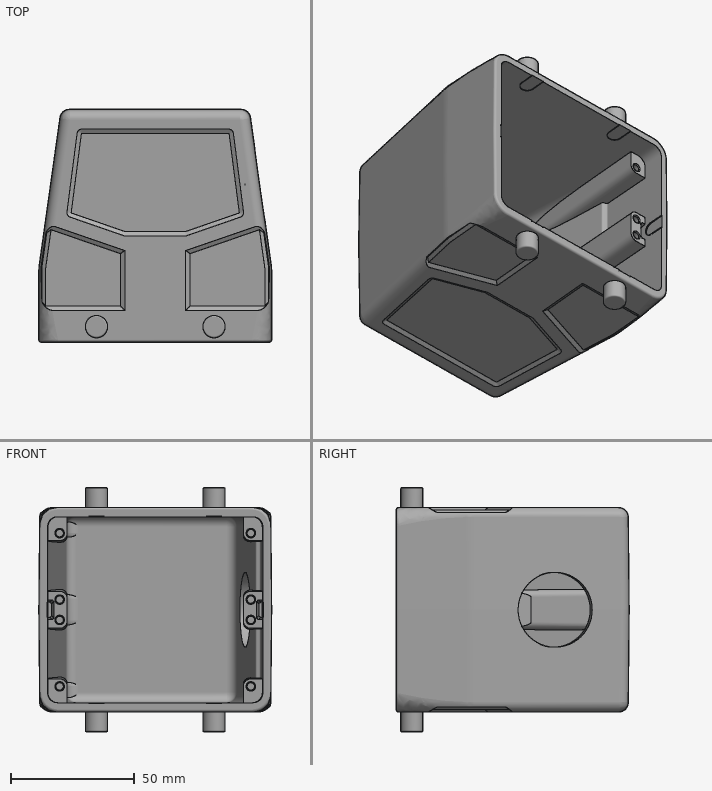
import cadquery as cq
import math

WIDTH = 94.0
LENGTH = 94.0
HEIGHT = 82.5
HALF_WIDTH = WIDTH / 2
HALF_HEIGHT = HEIGHT / 2
DRAFT = 0.55
SIDE_SLOPE = math.tan(math.radians(8))
BEND_Y = 29.9
BEND_RADIUS = 20.0
EDGE_RADIUS = 4.0
MOUTH_CORNER_RADIUS = 7.8
CORNER_MID_RADIUS = 5.1
CORNER_BLEND_Y = 28.4
MOUTH_ROUND = 1.0

CAVITY_HALF_WIDTH = 43.4
CAVITY_HALF_HEIGHT = 37.5
CAVITY_END = 90.5
LEFT_BEND = (-42.9, 36.7)
STEP_START = (42.6, 31.8)
STEP_END = (40.6, 32.3)
STEP_RADIUS = 0.8
CAVITY_RADIUS = 4.0

POST_FRONT = 9.5
POST_INNER_X = 35.5
POST_DRAFT = 0.75
POST_RADIUS = 3.0
CENTRE_POST_HALF = 7.45
CORNER_POST_Z = 27.9
SCREW_X = 38.55
SCREW_Z = (30.9, 4.1)
SCREW_DIAMETER = 3.0
SCREW_CHAMFER = 0.4
SCREW_DEPTH = 15.0
POST_FOOT_RADIUS = 4.5
NOTCH_X = 40.9
NOTCH_HALF = 4.0
NOTCH_DEPTH = 6.0
NOTCH_CHAMFER = 0.7
NOTCH_TAPER = 8.5

ENTRY_DIAMETER = 30.2
ENTRY_Y = 63.0
ENTRY_OVERLAP = 2.0

PIN_X = 23.7
PIN_Y = 6.3
PIN_DIAMETER = 9.0
PIN_HEIGHT = 8.0
PIN_ROUND = 0.6
SLOT_WIDTH = 6.0
SLOT_DEPTH = 0.3

PANEL_DEPTH = 1.0
PANEL_WALL_TAPER = 60.0
PANEL_ROUND = 2.0
PANEL_BACK_Y = 86.0
PANEL_BACK_X = 31.3
PANEL_SIDE = (35.8, 51.0)
PANEL_FRONT = (12.4, 42.9)
GRIP_INNER_X = 12.3
GRIP_FRONT_Y = 12.9
GRIP_BACK_Y = 37.0
GRIP_BACK_SLOPE = math.tan(math.radians(19))
GRIP_EDGE_INSET = 2.8
GRIP_EDGE_TAPER = 57.0
GRIP_EDGE_DROP = 2.0

MARGIN = 10.0


def side_x(y):
    """Half width of the hood in the parting plane, behind the bend."""
    return HALF_WIDTH - SIDE_SLOPE * (y - BEND_Y)


def mirrored_z(shape):
    return shape.union(shape.mirror("XY"))


def mirrored_x(shape):
    return shape.union(shape.mirror("YZ"))


def upper_half():
    """Drafted upper half of the outer shape, solid, with rounded edges."""
    back_x = side_x(LENGTH)
    half = (
        cq.Workplane("XY")
        .polyline([
            (-HALF_WIDTH, -MARGIN),
            (HALF_WIDTH, -MARGIN),
            (HALF_WIDTH, BEND_Y),
            (back_x, LENGTH),
            (-back_x, LENGTH),
            (-HALF_WIDTH, BEND_Y),
        ])
        .close()
        .extrude(HALF_HEIGHT, taper=DRAFT)
    )
    bends = cq.selectors.BoxSelector(
        (-WIDTH, BEND_Y - 1, 0), (WIDTH, BEND_Y + 1, HALF_HEIGHT))
    half = half.edges("not #Z").edges(bends).fillet(BEND_RADIUS)
    half = half.edges("not #Z").edges(">Y").fillet(EDGE_RADIUS)
    mouth_cut = cq.Workplane("XY").box(2 * WIDTH, MARGIN * 2, 2 * HEIGHT).translate((0, -MARGIN, 0))
    half = half.cut(mouth_cut)
    return half.faces(">Z").edges("not <Y").fillet(EDGE_RADIUS)


def corner_section(y, radius):
    """What a corner rounding of the given radius removes at one y, upper right corner."""
    lean = math.radians(DRAFT)
    centre_z = HALF_HEIGHT - radius
    centre_x = HALF_WIDTH - math.tan(lean) * centre_z - radius / math.cos(lean)

    def on_arc(angle):
        return centre_x + radius * math.cos(angle), centre_z + radius * math.sin(angle)

    side_point = on_arc(lean)
    return (
        cq.Workplane("XZ", origin=(0, y, 0))
        .moveTo(centre_x, HALF_HEIGHT)
        .threePointArc(on_arc(math.radians(45)), side_point)
        .lineTo(HALF_WIDTH + MARGIN, side_point[1])
        .lineTo(HALF_WIDTH + MARGIN, HALF_HEIGHT + MARGIN)
        .lineTo(centre_x, HALF_HEIGHT + MARGIN)
        .close()
        .wires()
        .val()
    )


def mouth_corners():
    """Cutters that widen the rounding of the long edges towards the mouth."""
    sections = [
        corner_section(0, MOUTH_CORNER_RADIUS),
        corner_section(CORNER_BLEND_Y / 2, CORNER_MID_RADIUS),
        corner_section(CORNER_BLEND_Y, EDGE_RADIUS),
    ]
    return mirrored_x(cq.Workplane(obj=cq.Solid.makeLoft(sections)))


def centre_panel():
    """Tapered cutter for the large panel, sunk into the top face."""
    outline = (
        cq.Sketch()
        .polygon([
            (-PANEL_BACK_X, PANEL_BACK_Y),
            (PANEL_BACK_X, PANEL_BACK_Y),
            PANEL_SIDE,
            PANEL_FRONT,
            (-PANEL_FRONT[0], PANEL_FRONT[1]),
            (-PANEL_SIDE[0], PANEL_SIDE[1]),
            (-PANEL_BACK_X, PANEL_BACK_Y),
        ])
        .vertices(">Y or <X or >X")
        .fillet(PANEL_ROUND)
    )
    return (
        cq.Workplane("XY", origin=(0, 0, HALF_HEIGHT))
        .placeSketch(outline)
        .extrude(-PANEL_DEPTH, taper=PANEL_WALL_TAPER)
    )


def grip_panel():
    """Cutter for the right grip panel, which runs out through the side edge."""
    outer_x = HALF_WIDTH + MARGIN
    recess = (
        cq.Workplane("XY", origin=(0, 0, HALF_HEIGHT))
        .polyline([
            (GRIP_INNER_X, GRIP_FRONT_Y),
            (outer_x, GRIP_FRONT_Y),
            (outer_x, GRIP_BACK_Y + GRIP_BACK_SLOPE * (outer_x - GRIP_INNER_X)),
            (GRIP_INNER_X, GRIP_BACK_Y),
        ])
        .close()
        .extrude(-GRIP_EDGE_DROP, taper=PANEL_WALL_TAPER)
    )
    edge_x = HALF_WIDTH - GRIP_EDGE_INSET
    floor = (
        cq.Workplane("XY", origin=(0, 0, HALF_HEIGHT - PANEL_DEPTH))
        .polyline([
            (0, 0),
            (edge_x, 0),
            (edge_x, BEND_Y),
            (side_x(LENGTH) - GRIP_EDGE_INSET, LENGTH),
            (0, LENGTH),
        ])
        .close()
        .extrude(-GRIP_EDGE_DROP, taper=-GRIP_EDGE_TAPER)
    )
    return recess.cut(floor)


def post(low, high):
    """Right-hand post between two heights at its front face, thicker towards the back."""
    length = LENGTH - POST_FRONT
    growth = length * math.tan(math.radians(POST_DRAFT))
    return (
        cq.Workplane("YZ", origin=(POST_INNER_X, 0, 0))
        .polyline([
            (POST_FRONT, low),
            (POST_FRONT, high),
            (LENGTH, high + growth),
            (LENGTH, low - growth),
        ])
        .close()
        .extrude(HALF_WIDTH - POST_INNER_X)
        .edges("not #Y")
        .edges("<X")
        .fillet(POST_RADIUS)
    )


def screw_holes():
    """Chamfered blind holes in the front faces of the right posts."""
    points = [(SCREW_X, sign * z) for z in SCREW_Z for sign in (-1, 1)]
    front = cq.Workplane("XZ", origin=(0, POST_FRONT, 0))
    tip = SCREW_DIAMETER / 2 + SCREW_CHAMFER
    holes = front.pushPoints(points).circle(SCREW_DIAMETER / 2).extrude(-SCREW_DEPTH)
    return holes.union(front.pushPoints(points).circle(tip).extrude(-SCREW_CHAMFER, taper=45))


def post_notch():
    """Tapered notch in the front of the centre post, on the side towards the wall."""
    width = HALF_WIDTH - NOTCH_X
    return (
        cq.Workplane("XZ", origin=(NOTCH_X + width / 2, POST_FRONT, 0))
        .rect(width, 2 * NOTCH_HALF)
        .extrude(-NOTCH_DEPTH, taper=NOTCH_TAPER)
        .edges("not #Y")
        .edges("<X")
        .chamfer(NOTCH_CHAMFER)
    )


def posts():
    """The three posts of the right side with their screw holes and notch."""
    corner = mirrored_z(post(CORNER_POST_Z, HALF_HEIGHT + MARGIN))
    plain = post(-CENTRE_POST_HALF, CENTRE_POST_HALF).union(corner)
    return plain.cut(screw_holes()).cut(post_notch())


def post_feet():
    """Concave blends from the left posts to the back wall."""
    r = POST_FOOT_RADIUS
    x = -POST_INNER_X
    y = CAVITY_END
    diagonal = r * (1 - 1 / math.sqrt(2))

    def foot(low, high):
        return (
            cq.Workplane("XY", origin=(0, 0, low))
            .moveTo(x - r, y - r)
            .lineTo(x, y - r)
            .threePointArc((x + diagonal, y - diagonal), (x + r, y))
            .lineTo(x - r, y)
            .close()
            .extrude(high - low)
            .edges("%CIRCLE")
            .fillet(POST_RADIUS)
        )

    centre = foot(-CENTRE_POST_HALF, CENTRE_POST_HALF)
    return centre.union(mirrored_z(foot(CORNER_POST_Z, HALF_HEIGHT + MARGIN)))


def cavity():
    """The hollow, with the posts left standing."""
    hollow = (
        cq.Workplane("XY")
        .workplane(offset=-CAVITY_HALF_HEIGHT)
        .polyline([
            (-CAVITY_HALF_WIDTH, 0),
            (CAVITY_HALF_WIDTH, 0),
            STEP_START,
            STEP_END,
            (STEP_END[0] - SIDE_SLOPE * (CAVITY_END - STEP_END[1]), CAVITY_END),
            (LEFT_BEND[0] + SIDE_SLOPE * (CAVITY_END - LEFT_BEND[1]), CAVITY_END),
            LEFT_BEND,
        ])
        .close()
        .extrude(2 * CAVITY_HALF_HEIGHT)
    )
    hollow = hollow.edges("|Z and >Y").fillet(CAVITY_RADIUS)
    step = cq.selectors.BoxSelector(
        (STEP_END[0] - 1, STEP_START[1] - 1, -1),
        (STEP_START[0] + 1, STEP_END[1] + 1, 1))
    hollow = hollow.edges(step).fillet(STEP_RADIUS)
    hollow = hollow.faces("|Z").edges("not <Y").fillet(CAVITY_RADIUS)
    return hollow.cut(mirrored_x(posts())).cut(post_feet())


def cable_entry():
    """Round opening square to the sloping right wall."""
    normal = cq.Vector(1, SIDE_SLOPE, 0)
    wall_x = STEP_END[0] - SIDE_SLOPE * (ENTRY_Y - STEP_END[1])
    start = cq.Vector(wall_x - ENTRY_OVERLAP, ENTRY_Y, 0)
    return cq.Workplane(obj=cq.Solid.makeCylinder(ENTRY_DIAMETER / 2, 2 * MARGIN, start, normal))


def locking_pins():
    """Two round pins on the top face and two on the bottom face."""
    pin = (
        cq.Workplane("XY", origin=(PIN_X, PIN_Y, HALF_HEIGHT - PANEL_DEPTH))
        .circle(PIN_DIAMETER / 2)
        .extrude(PIN_HEIGHT + PANEL_DEPTH)
        .faces(">Z")
        .edges()
        .fillet(PIN_ROUND)
    )
    return mirrored_x(mirrored_z(pin))


def mouth_slots():
    """Shallow round-ended slots: two on the floor and roof, one on each side wall."""
    def slot(wall, x):
        half = SLOT_WIDTH / 2
        return (
            cq.Workplane("XY")
            .moveTo(x - half, 0)
            .lineTo(x + half, 0)
            .lineTo(x + half, PIN_Y)
            .threePointArc((x, PIN_Y + half), (x - half, PIN_Y))
            .close()
            .extrude(2 * SLOT_DEPTH)
            .translate((0, 0, wall - SLOT_DEPTH))
        )

    roof = mirrored_x(mirrored_z(slot(CAVITY_HALF_HEIGHT, PIN_X)))
    side = slot(CAVITY_HALF_WIDTH, 0).rotate((0, 0, 0), (0, 1, 0), 90)
    return roof.union(mirrored_x(side))


top = upper_half().cut(mouth_corners())
top = top.cut(centre_panel()).cut(mirrored_x(grip_panel()))
body = mirrored_z(top)
body = body.faces("<Y").edges().fillet(MOUTH_ROUND)
result = body.cut(cavity()).cut(cable_entry()).cut(mouth_slots()).union(locking_pins())